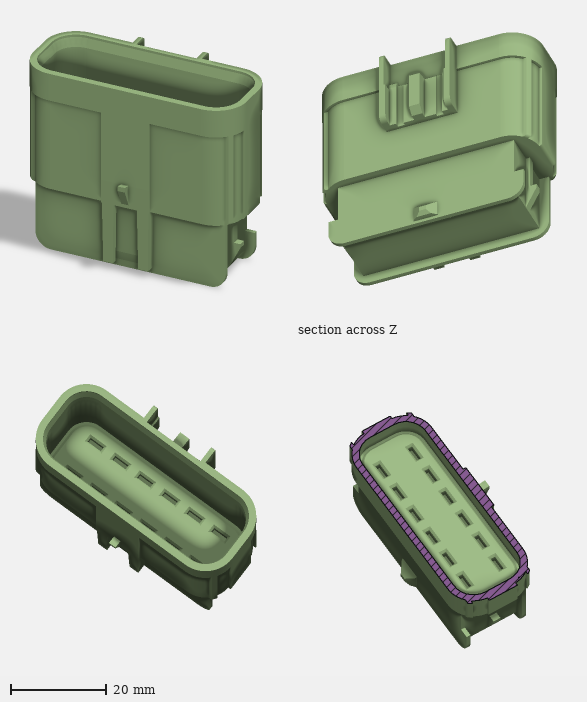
import cadquery as cq

length = 49.8
width = 20.1
height = 43.4
corner_radius = 7.05
half_length = length / 2
half_width = width / 2

collar_bottom = 15.6
rim_bottom = 37.0
recess_depth = 0.7

end_pad_half = 3.55
corner_rib_inner = 6.75
corner_rib_outer = 7.7
front_pad_half = 5.6

mouth_inset = 1.55
mouth_land_depth = 0.55
throat_inset = 2.2
throat_top = 40.8
draft_start = 37.45
floor_inset = 2.35
floor_level = 17.95
island_inset = 2.9
island_chamfer = 0.55

slot_columns = 6
slot_rows = 2
slot_pitch = 6.45
row_pitch = 8.05
slot_length = 4.4
slot_width = 2.0
slot_chamfer = 0.475
slot_depth = 2.0

core_half_length = 20.0
core_bottom = 2.15
core_back = 7.35
plate_half_length = 22.2
plate_thickness = 0.95
plate_corner_radius = 3.65
front_plate_face = -7.35
back_plate_height = 6.9
front_plate_back = front_plate_face + plate_thickness

rib_draft_top = 21.0
rib_bottom = 1.55
rib_foot_face = -9.7
rib_half_top = 5.45
rib_half_bottom = 5.25
window_half_top = 2.75
window_half_bottom = 2.95
channel_half = 4.15
lip_back = -8.5
channel_floor = -7.7
channel_foot = front_plate_face
channel_ramp_top = 3.55

tooth_half = 0.85
tooth_reach = 1.8
tooth_root_top = 21.05
tooth_tip_top = 21.4
tooth_tip_bottom = 20.3
tooth_root_bottom = 16.45

key_half = 0.85
key_rib_reach = 20.9
key_tip_reach = 22.45
key_tip_top = 7.8
key_tip_bottom = 6.9

fin_outer = 8.05
fin_inner = 7.0
fin_step_inner = 6.6
fin_reach = 13.6
fin_bottom = 25.5
fin_step_level = 34.85
fin_top_radius = 0.95
fin_bottom_radius = 1.5
back_root = half_width - recess_depth
notch_face = 9.65
block_inner = 5.25
block_reach = 11.1
block_bevel_reach = 10.75
block_rise = 1.0
block_bevel_drop = 1.25
tab_half = 3.7
tab_reach = 10.75
prong_half = 1.2
prong_drop = 0.5

bump_half = 2.75
bump_reach = 9.15
bump_top = 4.5
bump_tip_top = 2.65
bump_tip_bottom = 1.6
bump_bottom = 0.7
bump_taper_start = 7.6
bump_tip_half = 0.75
bump_edge = 0.7


def box(x_range, y_range, z_range):
    """Axis-aligned block from its limits along each axis."""
    sides = [high - low for low, high in (x_range, y_range, z_range)]
    low_corner = (x_range[0], y_range[0], z_range[0])
    return cq.Workplane("XY").box(*sides, centered=False).translate(low_corner)


def outline_sketch(inset):
    """Collar outline moved inward by inset."""
    sketch = cq.Sketch().rect(length - 2 * inset, width - 2 * inset)
    return sketch.vertices().fillet(corner_radius - inset)


def rounded_prism(inset, bottom, top):
    plane = cq.Workplane("XY", origin=(0, 0, bottom))
    return plane.placeSketch(outline_sketch(inset)).extrude(top - bottom)


def rounded_taper(bottom_inset, bottom, top_inset, top):
    upper = outline_sketch(top_inset).moved(cq.Location(cq.Vector(0, 0, top - bottom)))
    plane = cq.Workplane("XY", origin=(0, 0, bottom))
    return plane.placeSketch(outline_sketch(bottom_inset), upper).loft()


def across_x(profile, x_low, x_high):
    """Extrude a (y, z) profile from x_low to x_high."""
    plane = cq.Workplane("YZ", origin=(x_low, 0, 0))
    return plane.polyline(profile).close().extrude(x_high - x_low)


def both_ends(shape):
    """Shape together with its mirror image in X."""
    return shape.union(shape.mirror("YZ"))


def collar():
    recess_span = (collar_bottom, rim_bottom)
    bands = box((-half_length, half_length), (-end_pad_half, end_pad_half), recess_span)
    for low, high in ((corner_rib_inner, corner_rib_outer), (-corner_rib_outer, -corner_rib_inner)):
        bands = bands.union(box((-half_length, half_length), (low, high), recess_span))
    rounded_outline = rounded_prism(0, collar_bottom, height).faces("<Z").edges().fillet(recess_depth)
    bands = bands.intersect(rounded_outline)
    front_pad = box((-front_pad_half, front_pad_half), (-half_width, 0), recess_span)
    back_pad = box((-fin_outer, fin_outer), (0, half_width), (fin_bottom, rim_bottom))
    body = rounded_prism(recess_depth, collar_bottom, rim_bottom)
    body = body.union(rounded_prism(0, rim_bottom, height))
    return body.union(bands).union(front_pad).union(back_pad)


def cavity():
    land_bottom = height - mouth_land_depth
    space = rounded_prism(mouth_inset, land_bottom, height)
    space = space.union(rounded_taper(throat_inset, throat_top, mouth_inset, land_bottom))
    space = space.union(rounded_prism(throat_inset, draft_start, throat_top))
    space = space.union(rounded_taper(floor_inset, floor_level, throat_inset, draft_start))
    island_top = floor_level + island_chamfer
    island = rounded_taper(island_inset, floor_level, island_inset + island_chamfer, island_top)
    return space.cut(island)


def terminal_slots():
    top = floor_level + island_chamfer
    inner_length = slot_length - 2 * slot_chamfer
    inner_width = slot_width - 2 * slot_chamfer
    mouth = cq.Workplane("XY").rect(slot_length, slot_width).workplane(offset=-slot_chamfer)
    funnel = mouth.rect(inner_length, inner_width).loft()
    slot = funnel.union(cq.Workplane("XY").rect(inner_length, inner_width).extrude(-slot_depth)).val()
    places = cq.Workplane("XY", origin=(0, 0, top)).rarray(slot_pitch, row_pitch, slot_columns, slot_rows)
    return places.eachpoint(slot, combine=False)


def plate(front_face, top):
    """Flat plate with rounded lower corners, its front at y = front_face."""
    x_range = (-plate_half_length, plate_half_length)
    slab = box(x_range, (front_face, front_face + plate_thickness), (0, top))
    return slab.faces("<Z").edges("|Y").fillet(plate_corner_radius)


def lower_body():
    x_range = (-core_half_length, core_half_length)
    core = box(x_range, (front_plate_face, core_back), (core_bottom, collar_bottom))
    core = core.union(plate(front_plate_face, collar_bottom))
    return core.union(plate(core_back - plate_thickness, back_plate_height))


def end_keys():
    profile = [
        (0, core_bottom),
        (core_half_length, core_bottom),
        (key_tip_reach, key_tip_bottom),
        (key_tip_reach, key_tip_top),
        (key_rib_reach, key_tip_top),
        (key_rib_reach, collar_bottom),
        (0, collar_bottom),
    ]
    key = cq.Workplane("XZ").polyline(profile).close().extrude(key_half, both=True)
    return both_ends(key)


def front_trapezoid(half_bottom, half_top):
    """Tapered block from inside the front plate out to the front face of the collar."""
    outline = [
        (-half_bottom, rib_bottom),
        (half_bottom, rib_bottom),
        (half_top, collar_bottom),
        (-half_top, collar_bottom),
    ]
    plane = cq.Workplane("XZ", origin=(0, front_plate_back, 0))
    return plane.polyline(outline).close().extrude(half_width + front_plate_back)


def front_draft():
    """Wedge shaved off the front face from the draft line down to the rib foot."""
    profile = [
        (-half_width, rib_draft_top),
        (rib_foot_face, rib_bottom),
        (-half_width, rib_bottom),
    ]
    return across_x(profile, -front_pad_half, front_pad_half)


def front_rib():
    """Rib with a T-slot: a window in front, a wider channel behind its lips."""
    rib = front_trapezoid(rib_half_bottom, rib_half_top)
    slot_side = [
        (-half_width, rib_bottom),
        (channel_foot, rib_bottom),
        (channel_floor, channel_ramp_top),
        (channel_floor, collar_bottom),
        (-half_width, collar_bottom),
    ]
    slot = across_x(slot_side, -channel_half, channel_half)
    window = front_trapezoid(window_half_bottom, window_half_top)
    channel = box((-channel_half, channel_half), (lip_back, 0), (rib_bottom, collar_bottom))
    return rib.cut(slot.intersect(window.union(channel)))


def latch_tooth():
    profile = [
        (-half_width + recess_depth, tooth_root_top),
        (-half_width, tooth_root_top),
        (-half_width - tooth_reach, tooth_tip_top),
        (-half_width - tooth_reach, tooth_tip_bottom),
        (-half_width, tooth_root_bottom),
        (-half_width + recess_depth, tooth_root_bottom),
    ]
    return across_x(profile, -tooth_half, tooth_half)


def rim_notch():
    """Cut behind the rim between the fins, ending in a 45 degree slope."""
    slope = half_width - notch_face
    profile = [
        (notch_face, height),
        (notch_face, rim_bottom),
        (half_width, rim_bottom - slope),
        (half_width, height),
    ]
    return across_x(profile, -fin_inner, fin_inner)


def fins():
    """Pair of fins, thicker on the inside below the step, with rounded outer corners."""
    y_range = (back_root, fin_reach)
    outer_part = box((fin_inner, fin_outer), y_range, (fin_bottom, height))
    inner_part = box((fin_step_inner, fin_inner), y_range, (fin_bottom, fin_step_level))
    side = box((fin_step_inner, fin_outer), (0, fin_reach), (fin_bottom, height))
    side = side.faces(">Y").edges(">Z").fillet(fin_top_radius)
    side = side.faces(">Y").edges("<Z").fillet(fin_bottom_radius)
    return both_ends(outer_part.union(inner_part).intersect(side))


def guard_block():
    """Block beside a fin; its top slopes down, then turns steeper at the outer edge."""
    top = rim_bottom + block_rise
    bevel_top = top - (block_bevel_reach - notch_face)
    profile = [
        (back_root, fin_bottom),
        (block_reach, fin_bottom),
        (block_reach, bevel_top - block_bevel_drop),
        (block_bevel_reach, bevel_top),
        (notch_face, top),
        (back_root, top),
    ]
    return across_x(profile, block_inner, fin_inner)


def guard_tab():
    """Central tab whose top continues the 45 degree slope of the notch."""
    profile = [
        (back_root, fin_bottom),
        (tab_reach, fin_bottom),
        (tab_reach, rim_bottom - (tab_reach - notch_face)),
        (notch_face, rim_bottom),
        (back_root, rim_bottom),
    ]
    return across_x(profile, -tab_half, tab_half)


def prong():
    top = rim_bottom - (tab_reach - notch_face)
    profile = [
        (back_root, fin_bottom),
        (fin_reach - fin_bottom_radius, fin_bottom),
        (fin_reach, fin_bottom + fin_bottom_radius),
        (fin_reach, top - prong_drop),
        (tab_reach, top),
        (back_root, top),
    ]
    return across_x(profile, -prong_half, prong_half)


def latch_guard():
    return fins().union(both_ends(guard_block())).union(guard_tab()).union(prong())


def back_bump():
    root = core_back - plate_thickness
    profile = [
        (root, bump_top),
        (core_back, bump_top),
        (bump_reach, bump_tip_top),
        (bump_reach, bump_tip_bottom),
        (bump_reach - bump_edge, bump_bottom),
        (root, bump_bottom),
    ]
    plan = [
        (-bump_half, root),
        (-bump_half, bump_taper_start),
        (-bump_tip_half, bump_reach),
        (bump_tip_half, bump_reach),
        (bump_half, bump_taper_start),
        (bump_half, root),
    ]
    taper = cq.Workplane("XY").polyline(plan).close().extrude(bump_top)
    return across_x(profile, -bump_half, bump_half).intersect(taper)


housing = collar().union(lower_body()).union(end_keys())
housing = housing.union(front_rib()).cut(front_draft()).union(latch_tooth())
housing = housing.cut(rim_notch()).union(latch_guard()).union(back_bump())
result = housing.cut(cavity()).cut(terminal_slots()).solids()